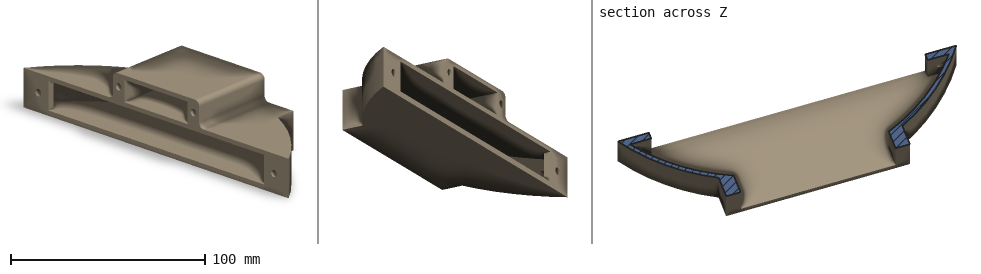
import cadquery as cq
import math

arc_radius = 110.0
arc_center_y = -60.0
floor = 3.0
shell_wall = 2.5
front_lip = 4.0
duct_height = 22.0
depth = 50.0
outlet_width = 100.0
outlet_side_wall = 8.0
mouth_width = 150.0

channel_width = 60.0
channel_height = 15.0
channel_side_wall = 8.0
channel_fillet = 3.0

hole_diameter = 4.0
hole_depth = 10.0
duct_hole_x = 82.0

cavity_radius = arc_radius - shell_wall
cavity_height = duct_height - floor - shell_wall
outlet_opening = outlet_width - 2 * outlet_side_wall
channel_opening = channel_width - 2 * channel_side_wall
channel_hole_x = (channel_width - channel_side_wall) / 2
total_height = duct_height + channel_height


def arc_half_width(radius, y):
    """Half-width along X of a circle about the arc centre, at depth y."""
    return math.sqrt(radius**2 - (y - arc_center_y) ** 2)


def arc_y(radius, x):
    """Depth along Y of a circle about the arc centre, at offset x."""
    return arc_center_y + math.sqrt(radius**2 - x**2)


def fan_prism(radius, front_y, outlet, z, height):
    """Prism with a straight front, curved flanks and a straight outlet to the back."""
    front_x = arc_half_width(radius, front_y)
    outlet_x = outlet / 2
    shoulder_y = arc_y(radius, outlet_x)
    mid_x = (front_x + outlet_x) / 2
    mid_y = arc_y(radius, mid_x)
    return (
        cq.Workplane("XY")
        .workplane(offset=z)
        .moveTo(-front_x, front_y)
        .lineTo(front_x, front_y)
        .threePointArc((mid_x, mid_y), (outlet_x, shoulder_y))
        .lineTo(outlet_x, depth)
        .lineTo(-outlet_x, depth)
        .lineTo(-outlet_x, shoulder_y)
        .threePointArc((-mid_x, mid_y), (-front_x, front_y))
        .close()
        .extrude(height)
    )


def front_block(width, z, height, length):
    """Block centred on X that starts at the front face."""
    block = cq.Workplane("XY").box(width, length, height, centered=(True, False, False))
    return block.translate((0, 0, z))


def channel_body():
    """Upper channel with rounded top edges and concave fillets at its foot."""
    half = channel_width / 2
    r = channel_fillet
    bulge = r * (1 - math.sqrt(0.5))
    foot_z = duct_height
    return (
        cq.Workplane("XZ")
        .moveTo(-half - r, foot_z)
        .threePointArc((-half - bulge, foot_z + bulge), (-half, foot_z + r))
        .lineTo(-half, total_height - r)
        .threePointArc((-half + bulge, total_height - bulge), (-half + r, total_height))
        .lineTo(half - r, total_height)
        .threePointArc((half - bulge, total_height - bulge), (half, total_height - r))
        .lineTo(half, foot_z + r)
        .threePointArc((half + bulge, foot_z + bulge), (half + r, foot_z))
        .close()
        .extrude(-depth)
    )


def front_holes(x, z):
    """Mirrored pair of blind holes drilled from the front face."""
    return (
        cq.Workplane("XZ")
        .pushPoints([(-x, z), (x, z)])
        .circle(hole_diameter / 2)
        .extrude(-hole_depth)
    )


duct = fan_prism(arc_radius, 0, outlet_width, 0, duct_height)
cavity = fan_prism(cavity_radius, front_lip, outlet_opening, floor, cavity_height)
mouth = front_block(mouth_width, floor, cavity_height, front_lip)
channel_bore = front_block(channel_opening, duct_height, channel_height - shell_wall, depth)

result = (
    duct.union(channel_body())
    .cut(cavity)
    .cut(mouth)
    .cut(channel_bore)
    .cut(front_holes(duct_hole_x, duct_height / 2))
    .cut(front_holes(channel_hole_x, duct_height + channel_height / 2))
)